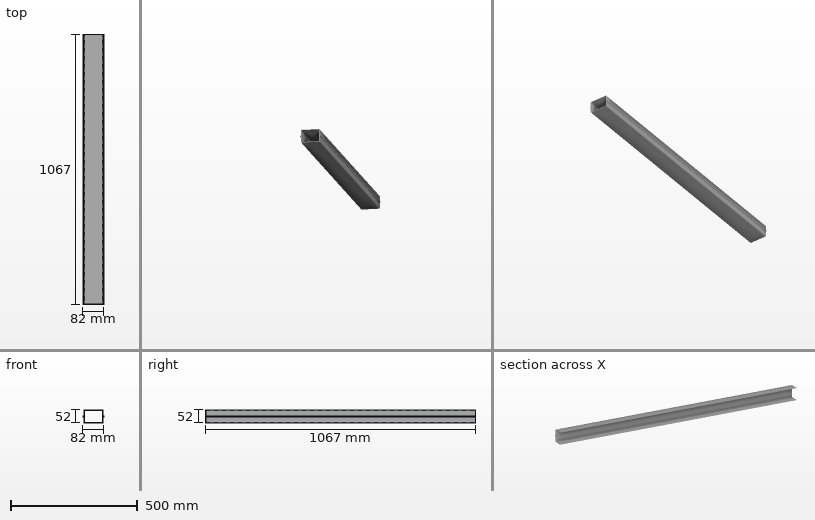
import cadquery as cq

length = 1067.0
overall_width = 82.0
overall_height = 52.0

wall = 2.0
corner_radius = 3.0
flange_reach = 3.0

duct_width = overall_width - 2 * flange_reach
inner_width = duct_width - 2 * wall
inner_height = overall_height - 2 * wall
inner_radius = corner_radius - wall


def rounded_bar(width, height, radius):
    """Full-length bar along Y, centred on the origin, with its four long edges rounded."""
    return cq.Workplane("XY").box(width, length, height).edges("|Y").fillet(radius)


def make_upper_shell():
    """Inverted channel whose two legs end in outward flanges on the parting plane Z = 0."""
    duct = rounded_bar(duct_width, overall_height, corner_radius)
    cavity = rounded_bar(inner_width, inner_height, inner_radius)
    above_parting = (True, True, False)
    flange_plate = cq.Workplane("XY").box(overall_width, length, wall, centered=above_parting)
    upper_space = cq.Workplane("XY").box(
        overall_width, length, overall_height / 2, centered=above_parting
    )
    return duct.intersect(upper_space).union(flange_plate).cut(cavity).solids()


upper_shell = make_upper_shell()
lower_shell = upper_shell.mirror("XY")

result = cq.Compound.makeCompound([upper_shell.val(), lower_shell.val()])